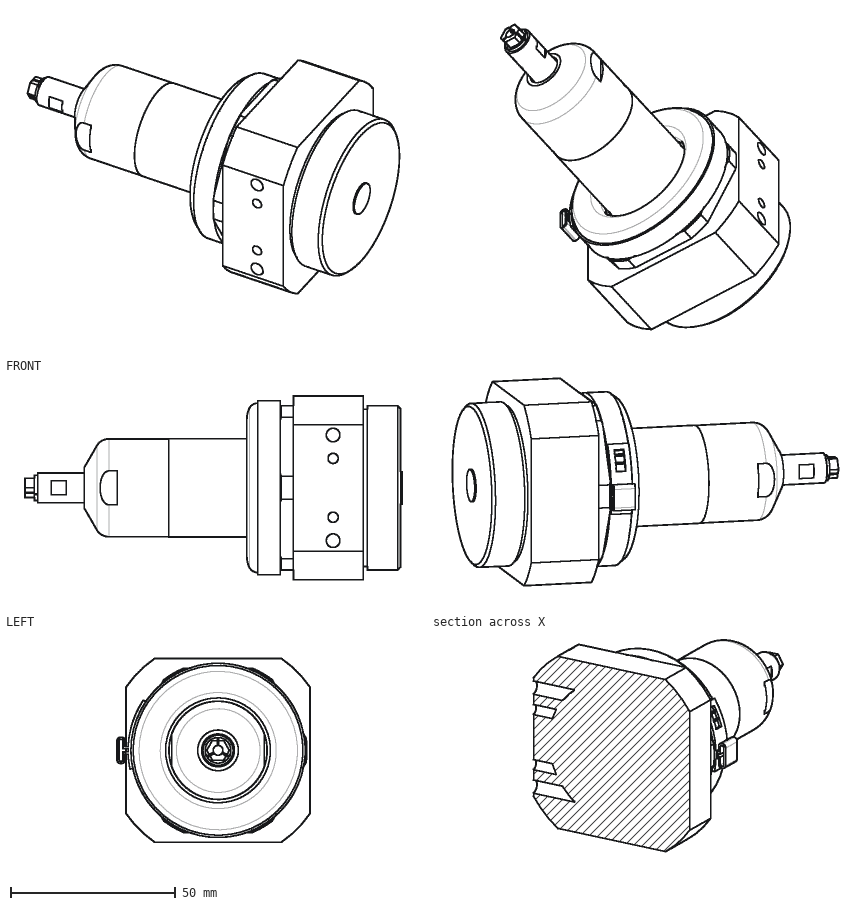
import cadquery as cq
import math

LENGTH = 114.7

NUT_FLATS = 6.0
NUT_END = 2.9
COLLAR_DIA = 7.8
COLLAR_END = 3.9
COLLET_BORE_DIA = 3.0
COLLET_BORE_DEPTH = 9.2
COLLET_POINT_ANGLE = 118.0
COLLET_SLOT_WIDTH = 0.5
COLLET_SLOTS = 3
STEM_DIA = 9.2
STEM_FLAT_START = 8.0
STEM_FLAT_END = 12.6
STEM_FLATS = 8.1

SLEEVE_START = 18.0
SLEEVE_BORE_DIA = 10.0
SLEEVE_BORE_DEPTH = 3.4
CONE_FRONT_DIA = 12.4
CONE_ANGLE = 60.0
SHOULDER_RADIUS = 4.4
NOSE_DIA = 29.8
NOSE_END = 43.7
SLEEVE_DIA = 30.0
SLEEVE_FLATS = 28.0
SLEEVE_FLAT_END = 28.1

BELL_START = 67.5
BELL_DIA = 51.6
BELL_BORE_DIA = 31.9
BELL_CROWN_RADIUS = 7.6
BELL_EDGE_RADIUS = 3.0
BELL_FLOOR = 73.4

BAND_START = 70.8
BAND_END = 77.7
BAND_THICKNESS = 0.86
BAND_RADIUS = 26.5
TAIL_INSET = 0.1
TAIL_START = BAND_START + TAIL_INSET
TAIL_END = BAND_END - TAIL_INSET
TAIL_RADIUS = BAND_RADIUS + BAND_THICKNESS
TAIL_ANGLE_FROM = -12.0
TAIL_ANGLE_TO = 34.0
WINDOW_WIDTH = 3.0
WINDOW_ANGLE_FROM = 15.8
WINDOW_ANGLE_TO = 30.0
HOOK_ANGLES = (21.2, 26.6)
HOOK_THICKNESS = 0.5
EAR_TOP = 30.8
EAR_HALF_WIDTH = 4.0
EAR_BASE = 28.2
EAR_THICKNESS = 0.7
EAR_GAP = 0.9
EAR_ROUNDING = 1.1

HEX_FLATS = 50.0
HEX_CORNER_DIA = 54.2
HEX_CHAMFER = 0.3
BLOCK_START = 81.7
BLOCK_END = 102.9
BLOCK_SIZE = 56.0
BLOCK_CORNER_RADIUS = 34.0
NECK_DIA = 48.0
FLANGE_START = 104.2
FLANGE_DIA = 50.0
FLANGE_CHAMFER = 0.9
BUTTON_DIA = 9.9
BUTTON_HEIGHT = 0.5

SIDE_HOLES = ((4.1, 16.1), (3.1, 9.0))
SIDE_HOLE_X = 93.7
CORE_DIA = 45.0


def cross_section(x):
    """Plane across the axis at X = x; sketch coordinates are Y and Z."""
    return cq.Workplane("YZ", origin=(x, 0, 0))


def cylinder(x_start, x_end, diameter):
    return cross_section(x_start).circle(diameter / 2).extrude(x_end - x_start)


def hexagon(x_start, x_end, flats):
    """Hexagonal prism with two flats facing +Z and -Z."""
    corner_dia = flats / math.cos(math.radians(30))
    return cross_section(x_start).polygon(6, corner_dia).extrude(x_end - x_start)


def spin(profile):
    """Revolve a closed (X, radius) profile about the spindle axis."""
    return profile.close().revolve(360, (0, 0, 0), (1, 0, 0))


def outside_flats(x_start, x_end, flats):
    """Material beyond a pair of flats facing +Y and -Y."""
    length = x_end - x_start
    slab = cq.Workplane().box(length, BLOCK_SIZE, BLOCK_SIZE)
    slab = slab.cut(cq.Workplane().box(length, flats, BLOCK_SIZE))
    return slab.translate(((x_start + x_end) / 2, 0, 0))


def make_stem():
    stem = cylinder(COLLAR_END, SLEEVE_START + SLEEVE_BORE_DEPTH, STEM_DIA)
    stem = stem.cut(outside_flats(STEM_FLAT_START, STEM_FLAT_END, STEM_FLATS))
    collet = hexagon(0, NUT_END, NUT_FLATS).union(cylinder(NUT_END, COLLAR_END, COLLAR_DIA))
    for index in range(COLLET_SLOTS):
        slot = cq.Workplane().box(
            COLLAR_END, COLLET_SLOT_WIDTH, COLLAR_DIA, centered=(False, True, False)
        )
        collet = collet.cut(slot.rotate((0, 0, 0), (1, 0, 0), index * 360 / COLLET_SLOTS))
    point_depth = COLLET_BORE_DIA / 2 / math.tan(math.radians(COLLET_POINT_ANGLE / 2))
    bore = spin(
        cq.Workplane()
        .lineTo(0, COLLET_BORE_DIA / 2)
        .lineTo(COLLET_BORE_DEPTH, COLLET_BORE_DIA / 2)
        .lineTo(COLLET_BORE_DEPTH + point_depth, 0)
    )
    return stem.union(collet).cut(bore)


def make_sleeve():
    angle = math.radians(CONE_ANGLE)
    nose_radius = NOSE_DIA / 2
    shoulder_centre_r = nose_radius - SHOULDER_RADIUS
    cone_end_r = shoulder_centre_r + SHOULDER_RADIUS * math.cos(angle)
    cone_end_x = SLEEVE_START + (cone_end_r - CONE_FRONT_DIA / 2) / math.tan(angle)
    shoulder_x = cone_end_x + SHOULDER_RADIUS * math.sin(angle)
    mid_x = shoulder_x - SHOULDER_RADIUS * math.sin(angle / 2)
    mid_r = shoulder_centre_r + SHOULDER_RADIUS * math.cos(angle / 2)
    sleeve = spin(
        cq.Workplane()
        .moveTo(SLEEVE_START, 0)
        .lineTo(SLEEVE_START, CONE_FRONT_DIA / 2)
        .lineTo(cone_end_x, cone_end_r)
        .threePointArc((mid_x, mid_r), (shoulder_x, nose_radius))
        .lineTo(NOSE_END, nose_radius)
        .lineTo(NOSE_END, SLEEVE_DIA / 2)
        .lineTo(BAND_END, SLEEVE_DIA / 2)
        .lineTo(BAND_END, 0)
    )
    sleeve = sleeve.cut(outside_flats(SLEEVE_START, SLEEVE_FLAT_END, SLEEVE_FLATS))
    return sleeve.cut(cylinder(SLEEVE_START, SLEEVE_START + SLEEVE_BORE_DEPTH, SLEEVE_BORE_DIA))


def make_bell():
    """Ring whose front is a wide crown arc blended into both side walls."""
    outer_r = BELL_DIA / 2
    bore_r = BELL_BORE_DIA / 2
    crown_r = (outer_r + bore_r) / 2
    crown_x = BELL_START + BELL_CROWN_RADIUS
    edge_offset = outer_r - BELL_EDGE_RADIUS - crown_r
    tilt = math.asin(edge_offset / (BELL_CROWN_RADIUS - BELL_EDGE_RADIUS))
    edge_x = crown_x - (BELL_CROWN_RADIUS - BELL_EDGE_RADIUS) * math.cos(tilt)
    join_x = crown_x - BELL_CROWN_RADIUS * math.cos(tilt)
    join_offset = BELL_CROWN_RADIUS * math.sin(tilt)
    edge_mid = (tilt + math.pi / 2) / 2
    mid_x = edge_x - BELL_EDGE_RADIUS * math.cos(edge_mid)
    mid_offset = edge_offset + BELL_EDGE_RADIUS * math.sin(edge_mid)
    return spin(
        cq.Workplane()
        .moveTo(BELL_FLOOR, bore_r)
        .lineTo(edge_x, bore_r)
        .threePointArc((mid_x, crown_r - mid_offset), (join_x, crown_r - join_offset))
        .threePointArc((BELL_START, crown_r), (join_x, crown_r + join_offset))
        .threePointArc((mid_x, crown_r + mid_offset), (edge_x, outer_r))
        .lineTo(BAND_END, outer_r)
        .lineTo(BAND_END, 0)
        .lineTo(BELL_FLOOR, 0)
    )


def band_sector(inner_r, outer_r, angle_from, angle_to, x_start, x_end):
    """Piece of a ring; angles are measured from +Y towards +Z."""
    def at(radius, angle):
        return (radius * math.cos(math.radians(angle)), radius * math.sin(math.radians(angle)))

    middle = (angle_from + angle_to) / 2
    return (
        cross_section(x_start)
        .moveTo(*at(inner_r, angle_from))
        .lineTo(*at(outer_r, angle_from))
        .threePointArc(at(outer_r, middle), at(outer_r, angle_to))
        .lineTo(*at(inner_r, angle_to))
        .threePointArc(at(inner_r, middle), at(inner_r, angle_from))
        .close()
        .extrude(x_end - x_start)
    )


def make_ear():
    """Pinched loop of band standing on two legs, open along X."""
    width = TAIL_END - TAIL_START
    loop_height = EAR_TOP - EAR_BASE
    loop_y = (EAR_TOP + EAR_BASE) / 2
    loop = (
        cross_section(TAIL_START).center(loop_y, 0)
        .rect(loop_height, 2 * EAR_HALF_WIDTH).extrude(width)
        .edges("|X").fillet(EAR_ROUNDING)
    )
    hollow = cross_section(TAIL_START).center(loop_y, 0).rect(
        loop_height - 2 * EAR_THICKNESS, 2 * (EAR_HALF_WIDTH - EAR_THICKNESS)
    ).extrude(width).edges("|X").fillet(EAR_ROUNDING - EAR_THICKNESS)
    leg_height = loop_y - BAND_RADIUS
    leg_y = (loop_y + BAND_RADIUS) / 2
    legs = cross_section(TAIL_START).center(leg_y, 0).rect(
        leg_height, EAR_GAP + 2 * EAR_THICKNESS
    ).extrude(width)
    gap = cross_section(TAIL_START).center(leg_y, 0).rect(leg_height, EAR_GAP).extrude(width)
    return loop.union(legs).cut(hollow).cut(gap)


def make_clamp_band():
    band = cylinder(BAND_START, BAND_END, 2 * BAND_RADIUS)
    band = band.cut(cylinder(BAND_START, BAND_END, BELL_DIA))
    tail = band_sector(
        BAND_RADIUS - BAND_THICKNESS / 2, TAIL_RADIUS, TAIL_ANGLE_FROM, TAIL_ANGLE_TO,
        TAIL_START, TAIL_END,
    )
    window_start = (BAND_START + BAND_END - WINDOW_WIDTH) / 2
    window_end = window_start + WINDOW_WIDTH
    window = band_sector(
        BAND_RADIUS, TAIL_RADIUS + BAND_THICKNESS, WINDOW_ANGLE_FROM, WINDOW_ANGLE_TO,
        window_start, window_end,
    )
    band = band.union(tail).cut(window)
    half_angle = math.degrees(HOOK_THICKNESS / 2 / TAIL_RADIUS)
    for angle in HOOK_ANGLES:
        band = band.union(band_sector(
            BAND_RADIUS - BAND_THICKNESS / 2, TAIL_RADIUS, angle - half_angle, angle + half_angle,
            window_start, window_end,
        ))
    return band.union(make_ear())


def make_hex_ring():
    corners = cylinder(BAND_END, BLOCK_START, HEX_CORNER_DIA).faces("<X").chamfer(HEX_CHAMFER)
    return hexagon(BAND_END, BLOCK_START, HEX_FLATS).intersect(corners)


def make_block():
    length = BLOCK_END - BLOCK_START
    block = cross_section(BLOCK_START).rect(BLOCK_SIZE, BLOCK_SIZE).extrude(length)
    block = block.intersect(cylinder(BLOCK_START, BLOCK_END, 2 * BLOCK_CORNER_RADIUS))
    core = cylinder(BLOCK_START, BLOCK_END, CORE_DIA)
    for diameter, distance in SIDE_HOLES:
        holes = (
            cq.Workplane("XZ", origin=(SIDE_HOLE_X, -BLOCK_SIZE / 2, 0))
            .pushPoints([(0, distance), (0, -distance)])
            .circle(diameter / 2)
            .extrude(-BLOCK_SIZE / 2)
        )
        block = block.cut(holes.cut(core))
    return block


def make_rear_flange():
    flange_end = LENGTH - BUTTON_HEIGHT
    neck = cylinder(BLOCK_END, FLANGE_START, NECK_DIA)
    flange = cylinder(FLANGE_START, flange_end, FLANGE_DIA).faces(">X").chamfer(FLANGE_CHAMFER)
    button = cylinder(flange_end, LENGTH, BUTTON_DIA)
    return neck.union(flange).union(button)


result = (
    make_stem()
    .union(make_sleeve())
    .union(make_bell())
    .union(make_clamp_band())
    .union(make_hex_ring())
    .union(make_block())
    .union(make_rear_flange())
)